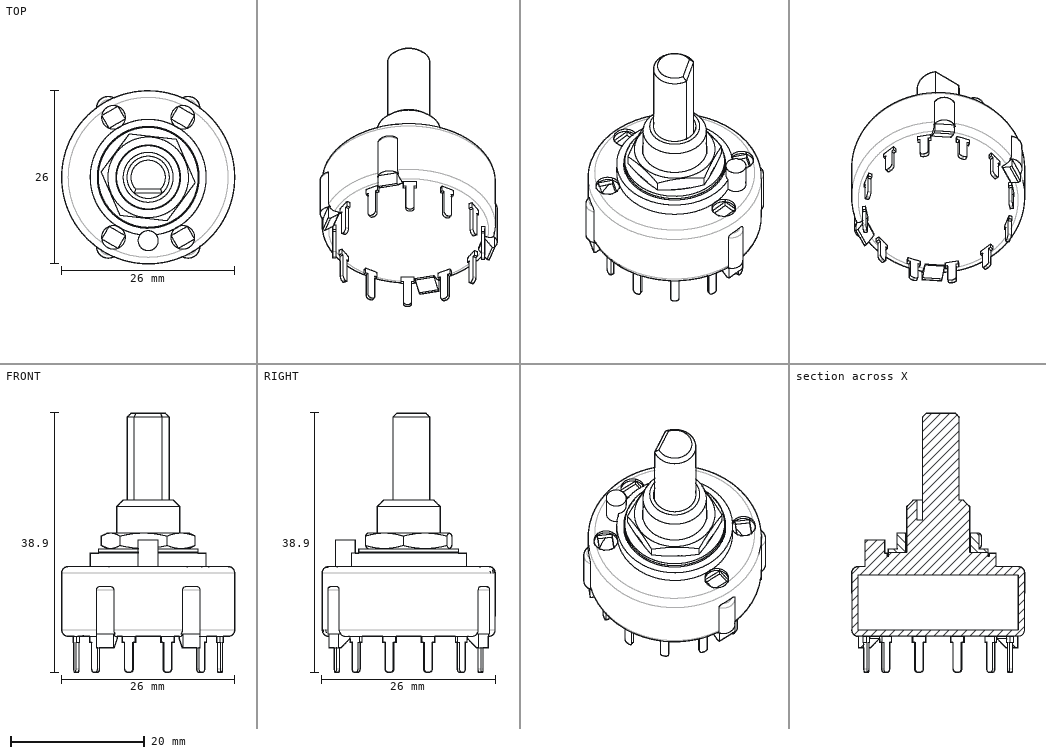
import cadquery as cq
import math


case_diameter = 26.0
case_height = 10.5
case_edge_radius = 1.0

roof_thickness = 1.3
wall_thickness = 1.0
floor_thickness = 1.0

collar_diameter = 17.4
collar_height = 2.0
collar_top = case_height + collar_height
bushing_diameter = 9.5
bushing_height = 8.0
bushing_chamfer = 1.0
bushing_top = collar_top + bushing_height
shaft_diameter = 6.35
shaft_length = 13.0
shaft_chamfer = 0.6
shaft_top = bushing_top + shaft_length
shaft_across_flat = 5.56
flat_depth_in_bushing = 3.0

washer_diameter = 15.0
washer_thickness = 0.5
seat_height = 0.15
seat_top = collar_top + seat_height
washer_top = seat_top + washer_thickness
groove_diameter = 15.3
groove_depth = 0.5
nut_across_flats = 12.3
nut_height = 2.4
nut_hole_diameter = 9.7
nut_face_diameter = 12.1
nut_chamfer_angle = 25.0
nut_turn = -6.5

peg_diameter = 3.0
peg_height = 4.0
peg_offset = 9.5

clip_angle = 60.0
rib_diameter = 3.55
rib_centre_radius = 11.97
rib_bottom = 0.4
rib_top = 7.5
rib_edge_radius = 0.5
foot_bottom = -1.7
foot_outer_radius = 12.97
foot_width = 2.94
foot_inner_radius = 11.2
foot_skew_angle = 11.0
hook_start = -0.3
hook_tip_radius = 12.6
pocket_diameter = rib_diameter
pocket_depth = 0.5
pocket_centre_radius = 10.4
window_width = 2.8
window_depth = 2.2

terminal_count = 12
terminal_circle_radius = 11.15
terminal_thickness = 0.5
terminal_width = 1.25
terminal_length = 5.4
terminal_tip_radius = 0.55
shoulder_width = 2.0
shoulder_height = 0.9


def cylinder(diameter, bottom, top, x=0, y=0):
    """Upright cylinder between two heights."""
    return cq.Workplane("XY", origin=(x, y, bottom)).circle(diameter / 2).extrude(top - bottom)


def turned(body, angle):
    """The body turned about the shaft axis."""
    return body.rotate((0, 0, 0), (0, 0, 1), angle)


def four_clip_places(body):
    """A clip feature built on the +X side, turned to its place and mirrored into all four quadrants."""
    first = turned(body, clip_angle)
    right_pair = first.union(first.mirror("XZ"))
    return right_pair.union(right_pair.mirror("YZ"))


def make_shaft():
    flat_y = shaft_diameter / 2 - shaft_across_flat
    flat_bottom = bushing_top - flat_depth_in_bushing
    flat_cut = (
        cq.Workplane("XY", origin=(0, flat_y - shaft_diameter / 2, flat_bottom))
        .rect(2 * shaft_diameter, shaft_diameter)
        .extrude(shaft_top - flat_bottom)
    )
    shaft = cylinder(shaft_diameter, flat_bottom, shaft_top).cut(flat_cut)
    return shaft.faces(">Z").edges().chamfer(shaft_chamfer)


def make_bushing():
    bushing = cylinder(bushing_diameter, case_height, bushing_top)
    bushing = bushing.faces(">Z").edges().chamfer(bushing_chamfer)
    return bushing.cut(cylinder(shaft_diameter, bushing_top - flat_depth_in_bushing, bushing_top))


def make_collar():
    """Collar with the washer seat inside it, parted by a narrow groove."""
    groove_bottom = collar_top - groove_depth
    collar = cylinder(collar_diameter, case_height, collar_top)
    collar = collar.cut(cylinder(groove_diameter, groove_bottom, collar_top))
    return collar.union(cylinder(washer_diameter, groove_bottom, seat_top))


def make_rib():
    """Half-round rib on the +X side of the case."""
    rib = cylinder(rib_diameter, rib_bottom, rib_top, x=rib_centre_radius)
    return rib.faces(">Z").edges().fillet(rib_edge_radius)


def make_foot():
    """Foot on the +X side, with skewed ends and a sloping hook face."""
    skew = (foot_outer_radius - foot_inner_radius) * math.tan(math.radians(foot_skew_angle))
    plan = (
        cq.Workplane("XY", origin=(0, 0, foot_bottom))
        .polyline([
            (foot_outer_radius, -foot_width / 2),
            (foot_outer_radius, foot_width / 2),
            (foot_inner_radius, foot_width / 2 - skew),
            (foot_inner_radius, -foot_width / 2 - skew),
        ])
        .close()
        .extrude(rib_bottom - foot_bottom)
    )
    side = (
        cq.Workplane("XZ")
        .polyline([
            (foot_outer_radius, foot_bottom),
            (foot_outer_radius, rib_bottom),
            (foot_inner_radius, rib_bottom),
            (foot_inner_radius, hook_start),
            (hook_tip_radius, foot_bottom),
        ])
        .close()
        .extrude(foot_width, both=True)
    )
    return plan.intersect(side)


def make_window():
    """Round pocket in the roof with a rectangular window through to the cavity, on the +X side."""
    pocket = cylinder(pocket_diameter, case_height - pocket_depth, case_height, x=pocket_centre_radius)
    window = (
        cq.Workplane("XY", origin=(pocket_centre_radius, 0, case_height - roof_thickness))
        .rect(window_depth, window_width)
        .extrude(roof_thickness)
    )
    return pocket.union(window)


def make_terminal():
    """Flat terminal on the +X side, hanging below the case, with a wider shoulder."""
    plane = cq.Workplane("YZ", origin=(terminal_circle_radius, 0, 0))
    blade = (
        plane.center(0, -terminal_length / 2)
        .rect(terminal_width, terminal_length)
        .extrude(terminal_thickness / 2, both=True)
        .faces("<Z").edges("|X").fillet(terminal_tip_radius)
    )
    shoulder = (
        plane.center(0, -shoulder_height / 2)
        .rect(shoulder_width, shoulder_height)
        .extrude(terminal_thickness / 2, both=True)
    )
    return blade.union(shoulder)


def make_switch():
    switch = cylinder(case_diameter, 0, case_height).edges().fillet(case_edge_radius)
    switch = switch.union(four_clip_places(make_rib().union(make_foot())))

    cavity_diameter = case_diameter - 2 * wall_thickness
    switch = switch.cut(cylinder(cavity_diameter, floor_thickness, case_height - roof_thickness))
    switch = switch.cut(four_clip_places(make_window()))

    switch = switch.union(make_collar())
    switch = switch.union(cylinder(peg_diameter, case_height, case_height + peg_height, y=-peg_offset))
    switch = switch.union(make_bushing()).union(make_shaft())

    for index in range(terminal_count):
        angle = (index + 0.5) * 360 / terminal_count
        switch = switch.union(turned(make_terminal(), angle))
    return switch


def make_nut():
    """Hex nut chamfered on both faces, in one piece with the washer under it."""
    corner_radius = nut_across_flats / 2 / math.cos(math.pi / 6)
    hexagon = (
        cq.Workplane("XY", origin=(0, 0, washer_top))
        .polygon(6, 2 * corner_radius)
        .extrude(nut_height)
    )
    face_radius = nut_face_diameter / 2
    chamfer_height = (corner_radius - face_radius) * math.tan(math.radians(nut_chamfer_angle))
    nut_top = washer_top + nut_height
    chamfer_envelope = (
        cq.Workplane("XZ")
        .polyline([
            (0, washer_top),
            (face_radius, washer_top),
            (corner_radius, washer_top + chamfer_height),
            (corner_radius, nut_top - chamfer_height),
            (face_radius, nut_top),
            (0, nut_top),
        ])
        .close()
        .revolve(360, (0, 0, 0), (0, 1, 0))
    )
    nut = turned(hexagon.intersect(chamfer_envelope), nut_turn)
    nut = nut.union(cylinder(washer_diameter, seat_top, washer_top))
    return nut.cut(cylinder(nut_hole_diameter, seat_top, nut_top))


switch = make_switch()
nut = make_nut()

result = cq.Compound.makeCompound([switch.val(), nut.val()])